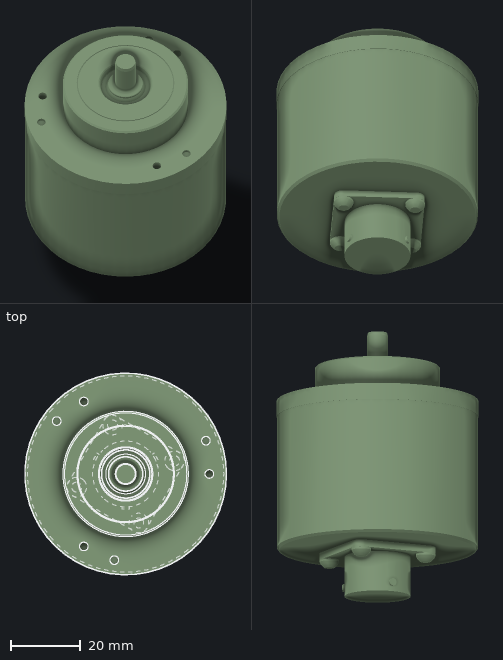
import cadquery as cq
import math

total_height = 77.0
shaft_length = 10.0
cap_height = 10.0
flange_thickness = 4.7
body_bottom_z = 13.55
mount_thickness = 2.0
cap_top_z = total_height - shaft_length
flange_top_z = cap_top_z - cap_height
flange_bottom_z = flange_top_z - flange_thickness
mount_bottom_z = body_bottom_z - mount_thickness

flange_diameter = 58.0
body_diameter = 57.75
body_chamfer = 0.7
cap_diameter = 36.0
cap_chamfer = 0.5
shaft_diameter = 6.0
shaft_tip_inset = 0.2
shaft_tip_length = 1.0
shaft_root_fillet = 0.6

ring_groove_diameter = 28.0
ring_groove_width = 0.3
ring_groove_depth = 0.2
recess_diameter = 15.6
recess_rim_chamfer = 0.3
recess_floor_diameter = 13.7
recess_floor_chamfer = 0.15
recess_depth = 1.55
collar_diameter = 10.0
collar_edge_chamfer = 0.15
collar_foot_diameter = 11.4
collar_foot_height = 0.85

flange_hole_diameter = 2.5
flange_hole_count = 3
drill_circle_radius = 24.0
drill_depth = 5.0
drill_point_angle = 118
pocket_circle_radius = 24.95
pocket_depth = 0.8
pocket_start_angle = 22.5

mount_side = 26.0
mount_corner_radius = 2.4
corner_direction = 15
screw_count = 4
screw_circle_radius = 14.55
head_diameter = 5.6
head_rim_height = 0.6
head_height = 2.3
head_flat_diameter = 2.85
head_dome_radius = 3.5

connector_diameter = 18.95
pin_count = 3
pin_diameter = 2.15
pin_projection = 0.6
pin_z = 2.6
pin_start_angle = 30


def cylinder(diameter, bottom_z, height):
    return cq.Workplane("XY").workplane(offset=bottom_z).circle(diameter / 2).extrude(height)


def around(radius, start_angle, count):
    """Points evenly spaced on a circle around the axis."""
    angles = [math.radians(start_angle + i * 360 / count) for i in range(count)]
    return [(radius * math.cos(a), radius * math.sin(a)) for a in angles]


def revolve_profile(profile):
    """Turn an XZ-plane outline (radius, height) about the Z axis."""
    return profile.close().revolve(360, (0, 0, 0), (0, 1, 0))


def make_housing():
    body = cylinder(body_diameter, body_bottom_z, flange_bottom_z - body_bottom_z)
    body = body.faces("<Z").chamfer(body_chamfer)
    flange = cylinder(flange_diameter, flange_bottom_z, flange_thickness)
    cap = cylinder(cap_diameter, flange_top_z, cap_height).faces(">Z").chamfer(cap_chamfer)
    return body.union(flange).union(cap)


def make_cap_recess():
    """Tapered annular recess with bevelled edges that leaves a flared collar around the shaft."""
    rim_radius = recess_diameter / 2
    floor_radius = recess_floor_diameter / 2
    collar_radius = collar_diameter / 2
    floor_z = cap_top_z - recess_depth
    return revolve_profile(
        cq.Workplane("XZ")
        .moveTo(collar_radius - collar_edge_chamfer, cap_top_z)
        .lineTo(collar_radius, cap_top_z - collar_edge_chamfer)
        .lineTo(collar_radius, floor_z + collar_foot_height)
        .lineTo(collar_foot_diameter / 2, floor_z)
        .lineTo(floor_radius, floor_z)
        .lineTo(floor_radius + recess_floor_chamfer, floor_z + recess_floor_chamfer)
        .lineTo(rim_radius - recess_rim_chamfer, cap_top_z - recess_rim_chamfer)
        .lineTo(rim_radius, cap_top_z)
    )


def make_ring_groove():
    return (
        cq.Workplane("XY")
        .workplane(offset=cap_top_z)
        .circle(ring_groove_diameter / 2)
        .circle(ring_groove_diameter / 2 - ring_groove_width)
        .extrude(-ring_groove_depth)
    )


def make_shaft():
    """Shaft with a slender tip chamfer and a concave fillet where it meets the collar."""
    radius = shaft_diameter / 2
    return revolve_profile(
        cq.Workplane("XZ")
        .moveTo(0, flange_top_z)
        .lineTo(radius, flange_top_z)
        .lineTo(radius, cap_top_z)
        .lineTo(radius + shaft_root_fillet, cap_top_z)
        .radiusArc((radius, cap_top_z + shaft_root_fillet), shaft_root_fillet)
        .lineTo(radius, total_height - shaft_tip_length)
        .lineTo(radius - shaft_tip_inset, total_height)
        .lineTo(0, total_height)
    )


def make_drilled_holes():
    radius = flange_hole_diameter / 2
    point_length = radius / math.tan(math.radians(drill_point_angle / 2))
    drill = revolve_profile(
        cq.Workplane("XZ")
        .moveTo(0, flange_top_z)
        .lineTo(radius, flange_top_z)
        .lineTo(radius, flange_top_z - drill_depth)
        .lineTo(0, flange_top_z - drill_depth - point_length)
    )
    holes = cq.Workplane("XY")
    for x, y in around(drill_circle_radius, 0, flange_hole_count):
        holes = holes.add(drill.translate((x, y, 0)))
    return holes.combine()


def make_flat_pockets():
    return (
        cq.Workplane("XY")
        .workplane(offset=flange_top_z)
        .pushPoints(around(pocket_circle_radius, pocket_start_angle, flange_hole_count))
        .circle(flange_hole_diameter / 2)
        .extrude(-pocket_depth)
    )


def make_mount():
    plate = (
        cq.Workplane("XY")
        .workplane(offset=mount_bottom_z)
        .rect(mount_side, mount_side)
        .extrude(mount_thickness)
        .edges("|Z")
        .fillet(mount_corner_radius)
    )
    mount = plate.rotate((0, 0, 0), (0, 0, 1), corner_direction - 45)
    head = make_screw_head()
    for x, y in around(screw_circle_radius, corner_direction, screw_count):
        mount = mount.union(head.translate((x, y, mount_bottom_z)))
    return mount


def make_screw_head():
    """Domed head hanging below Z = 0, where it meets the plate."""
    radius = head_diameter / 2
    return revolve_profile(
        cq.Workplane("XZ")
        .lineTo(radius, 0)
        .lineTo(radius, -head_rim_height)
        .radiusArc((head_flat_diameter / 2, -head_height), head_dome_radius)
        .lineTo(0, -head_height)
    )


def make_connector():
    connector = cylinder(connector_diameter, 0, body_bottom_z)
    pin = (
        cq.Workplane("YZ")
        .center(0, pin_z)
        .circle(pin_diameter / 2)
        .extrude(connector_diameter / 2 + pin_projection)
    )
    for i in range(pin_count):
        angle = pin_start_angle + i * 360 / pin_count
        connector = connector.union(pin.rotate((0, 0, 0), (0, 0, 1), angle))
    return connector


result = (
    make_housing()
    .cut(make_cap_recess())
    .cut(make_ring_groove())
    .cut(make_drilled_holes())
    .cut(make_flat_pockets())
    .union(make_shaft())
    .union(make_mount())
    .union(make_connector())
)